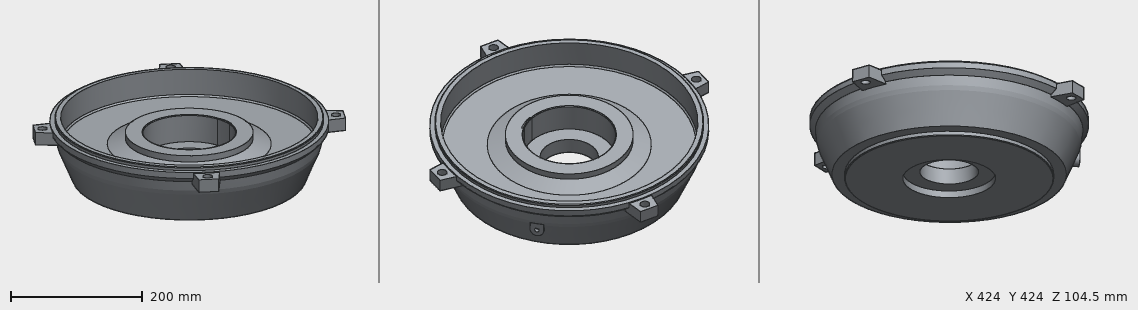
import cadquery as cq
import math


HEIGHT = 104.5
RIM_RADIUS = 204.5
EDGE_CHAMFER = 1.3
FLANGE_RADIUS = 212.0
FLANGE_TOP = 99.0
FLANGE_EDGE_BOTTOM = 89.0
BAND_TOP_RADIUS = 203.5
BAND_TOP = FLANGE_EDGE_BOTTOM - (FLANGE_RADIUS - BAND_TOP_RADIUS)
BAND_BOTTOM_RADIUS = 201.5
BAND_BOTTOM = 64.5
CONE_TOP_RADIUS = 199.3
CONE_TOP = 57.2
CONE_BOTTOM_RADIUS = 178.0
CONE_BOTTOM = 7.0
SPIGOT_RADIUS = 159.0

WALL_RADIUS = 195.5
FLOOR_RADIUS = 193.0
FLOOR_LEVEL = 60.5
CORNER_CHAMFER = WALL_RADIUS - FLOOR_RADIUS
HUB_BASE_RADIUS = 124.5
HUB_RADIUS = 97.0
HUB_CONE_TOP = 70.0
HUB_TOP = 80.0
BORE_RADIUS = 70.5
BORE_CHAMFER = 1.3
SEAT_LEVEL = 36.0
SHAFT_HOLE_RADIUS = 44.5
RECESS_RADIUS = BORE_RADIUS
RECESS_DEPTH = 11.0

EAR_COUNT = 4
FIRST_EAR_ANGLE = 45
EAR_TOP = 97.0
EAR_BOTTOM = 76.7
EAR_ROOT = 199.3
EAR_REACH = 237.5
EAR_TIP_HALF_WIDTH = 15.3
EAR_TAPER_ANGLE = 10
EAR_HOLE_DISTANCE = 224.7
EAR_HOLE_RADIUS = 7.0

LUG_REACH = 200.5
LUG_ROOT = 169.5
LUG_CENTRE_LEVEL = 48.0
LUG_RADIUS = 10.5
LUG_TOP = 60.0
LUG_HOLE_RADIUS = 3.5

KEY_DEPTH = 4.2
KEY_START_ANGLE = 68
KEY_END_ANGLE = 90
KEY_TOP = HUB_TOP - BORE_CHAMFER


def make_turned_housing():
    half_section = [
        (SHAFT_HOLE_RADIUS, RECESS_DEPTH),
        (RECESS_RADIUS, RECESS_DEPTH),
        (RECESS_RADIUS, 0),
        (SPIGOT_RADIUS - EDGE_CHAMFER, 0),
        (SPIGOT_RADIUS, EDGE_CHAMFER),
        (SPIGOT_RADIUS, CONE_BOTTOM),
        (CONE_BOTTOM_RADIUS, CONE_BOTTOM),
        (CONE_TOP_RADIUS, CONE_TOP),
        (BAND_BOTTOM_RADIUS, BAND_BOTTOM),
        (BAND_TOP_RADIUS, BAND_TOP),
        (FLANGE_RADIUS, FLANGE_EDGE_BOTTOM),
        (FLANGE_RADIUS, FLANGE_TOP),
        (RIM_RADIUS, FLANGE_TOP),
        (RIM_RADIUS, HEIGHT - EDGE_CHAMFER),
        (RIM_RADIUS - EDGE_CHAMFER, HEIGHT),
        (WALL_RADIUS, HEIGHT),
        (WALL_RADIUS, FLOOR_LEVEL + CORNER_CHAMFER),
        (FLOOR_RADIUS, FLOOR_LEVEL),
        (HUB_BASE_RADIUS, FLOOR_LEVEL),
        (HUB_RADIUS, HUB_CONE_TOP),
        (HUB_RADIUS, HUB_TOP),
        (BORE_RADIUS + BORE_CHAMFER, HUB_TOP),
        (BORE_RADIUS, HUB_TOP - BORE_CHAMFER),
        (BORE_RADIUS, SEAT_LEVEL),
        (SHAFT_HOLE_RADIUS, SEAT_LEVEL),
    ]
    return cq.Workplane("XZ").polyline(half_section).close().revolve(360, (0, 0, 0), (0, 1, 0))


def make_ear(angle):
    """Tapered ear with a through hole, pointing outward at the given angle."""
    taper = math.tan(math.radians(EAR_TAPER_ANGLE))
    root_half_width = EAR_TIP_HALF_WIDTH + (EAR_REACH - EAR_ROOT) * taper
    outline = [
        (EAR_ROOT, -root_half_width),
        (EAR_REACH, -EAR_TIP_HALF_WIDTH),
        (EAR_REACH, EAR_TIP_HALF_WIDTH),
        (EAR_ROOT, root_half_width),
    ]
    thickness = EAR_TOP - EAR_BOTTOM
    base = cq.Workplane("XY").workplane(offset=EAR_BOTTOM)
    ear = base.polyline(outline).close().extrude(thickness)
    hole = base.center(EAR_HOLE_DISTANCE, 0).circle(EAR_HOLE_RADIUS).extrude(thickness)
    return ear.cut(hole).rotate((0, 0, 0), (0, 0, 1), angle)


def make_lug():
    """Round-bottomed lug; its hole runs inward to the cone of the housing."""
    length = LUG_REACH - LUG_ROOT
    face = cq.Workplane("YZ", origin=(-LUG_REACH, 0, LUG_CENTRE_LEVEL))
    top = LUG_TOP - LUG_CENTRE_LEVEL
    lug = (
        face.moveTo(-LUG_RADIUS, top)
        .lineTo(-LUG_RADIUS, 0)
        .threePointArc((0, -LUG_RADIUS), (LUG_RADIUS, 0))
        .lineTo(LUG_RADIUS, top)
        .close()
        .extrude(length)
    )
    hole = face.circle(LUG_HOLE_RADIUS).extrude(length)
    return lug.cut(hole)


def make_key():
    """Ring sector whose inner face is flush with the bore wall."""

    def at(radius, angle):
        return (radius * math.cos(math.radians(angle)), radius * math.sin(math.radians(angle)))

    outer_radius = BORE_RADIUS + KEY_DEPTH
    middle_angle = (KEY_START_ANGLE + KEY_END_ANGLE) / 2
    return (
        cq.Workplane("XY", origin=(0, 0, SEAT_LEVEL))
        .moveTo(*at(BORE_RADIUS, KEY_START_ANGLE))
        .threePointArc(at(BORE_RADIUS, middle_angle), at(BORE_RADIUS, KEY_END_ANGLE))
        .lineTo(*at(outer_radius, KEY_END_ANGLE))
        .threePointArc(at(outer_radius, middle_angle), at(outer_radius, KEY_START_ANGLE))
        .close()
        .extrude(KEY_TOP - SEAT_LEVEL)
    )


def make_housing(key):
    """Turned housing with its ears and lug, and a pocket that fits the key."""
    housing = make_turned_housing().union(make_lug())
    for index in range(EAR_COUNT):
        housing = housing.union(make_ear(FIRST_EAR_ANGLE + index * 360 / EAR_COUNT))
    return housing.cut(key)


key = make_key()
housing = make_housing(key)

result = cq.Compound.makeCompound([housing.solids().val(), key.val()])